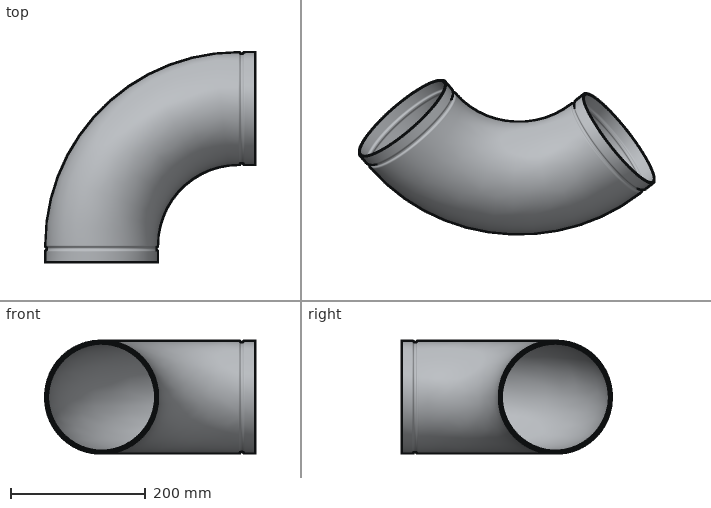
import cadquery as cq
import math

overall_length = 312.7
outer_diameter = 168.3
bore_diameter = 164.2
straight_length = 25.3

groove_diameter = 163.3
groove_start = 15.5
groove_width = 9.0
groove_floor_width = 1.0
shoulder_radius = 2.65

outer_radius = outer_diameter / 2
bore_radius = bore_diameter / 2
centre_to_end = overall_length - outer_radius
bend_radius = centre_to_end - straight_length

groove_end = groove_start + groove_width
groove_depth = (outer_diameter - groove_diameter) / 2
flank_width = (groove_width - groove_floor_width) / 2
flank_angle = 2 * math.atan2(groove_depth, flank_width)
root_radius = flank_width / math.sin(flank_angle) - shoulder_radius


def flank_points(surface_radius, shoulder_z, direction):
    """Points of one flank from shoulder to root, as (radius, distance from pipe end).

    surface_radius is the pipe surface that the flank sinks from, outside or in the bore;
    direction is the way along the pipe from shoulder to root.
    """
    shoulder_centre = surface_radius - shoulder_radius
    root_centre = surface_radius - groove_depth + root_radius
    root_z = shoulder_z + direction * flank_width

    def on_shoulder(angle):
        return (shoulder_centre + shoulder_radius * math.cos(angle),
                shoulder_z + direction * shoulder_radius * math.sin(angle))

    def on_root(angle):
        return (root_centre - root_radius * math.cos(angle),
                root_z - direction * root_radius * math.sin(angle))

    return [on_shoulder(0), on_shoulder(flank_angle / 2), on_shoulder(flank_angle),
            on_root(flank_angle / 2), on_root(0)]


def grooved_end():
    """Straight pipe end along +Z with its open face at Z = 0."""
    outer_near = flank_points(outer_radius, groove_start, 1)
    outer_far = flank_points(outer_radius, groove_end, -1)[::-1]
    bore_near = flank_points(bore_radius, groove_start, 1)[::-1]
    bore_far = flank_points(bore_radius, groove_end, -1)
    profile = (
        cq.Workplane("XZ")
        .moveTo(outer_radius, 0)
        .lineTo(*outer_near[0])
        .threePointArc(*outer_near[1:3])
        .threePointArc(*outer_near[3:5])
        .lineTo(*outer_far[0])
        .threePointArc(*outer_far[1:3])
        .threePointArc(*outer_far[3:5])
        .lineTo(outer_radius, straight_length)
        .lineTo(bore_radius, straight_length)
        .lineTo(*bore_far[0])
        .threePointArc(*bore_far[1:3])
        .threePointArc(*bore_far[3:5])
        .lineTo(*bore_near[0])
        .threePointArc(*bore_near[1:3])
        .threePointArc(*bore_near[3:5])
        .lineTo(bore_radius, 0)
        .close()
    )
    return profile.revolve(360, (0, 0, 0), (0, 1, 0))


def bend():
    """Quarter-turn pipe joining the -Y end to the +X end."""
    section = (
        cq.Workplane("XZ", origin=(0, -bend_radius, 0))
        .circle(outer_radius)
        .circle(bore_radius)
    )
    return section.revolve(90, (bend_radius, 3, 0), (bend_radius, 0, 0))


pipe_end = grooved_end()
front_end = pipe_end.rotate((0, 0, 0), (1, 0, 0), -90).translate((0, -centre_to_end, 0))
side_end = pipe_end.rotate((0, 0, 0), (0, 1, 0), -90).translate((centre_to_end, 0, 0))

result = bend().union(front_end).union(side_end)